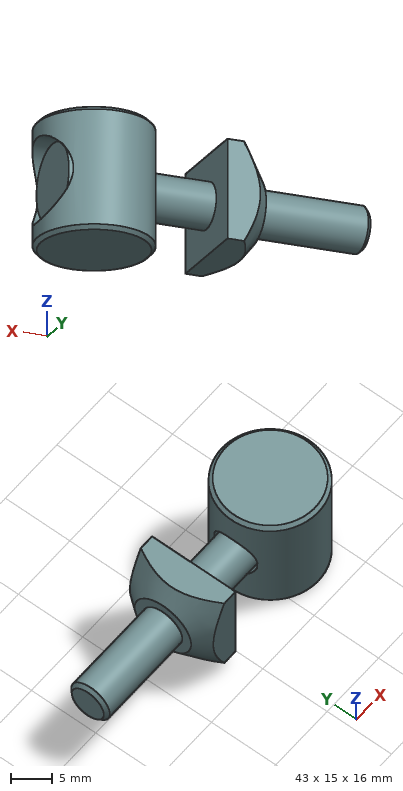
import cadquery as cq
import math

BARREL_DIAMETER = 15.0
BARREL_HEIGHT = 16.0
BARREL_CHAMFER = 0.5
SHANK_HOLE_DIAMETER = 6.75
HEAD_BORE_DIAMETER = 11.0

TOTAL_LENGTH = 43
SHANK_DIAMETER = 6
TIP_DIAMETER = 5.0
HEAD_DIAMETER = 10.0
HEAD_HEIGHT = 6
HEAD_RECESS = 2.0

NUT_WIDTH = 13.0
NUT_LENGTH = 6
NUT_FROM_TIP = 14.6
CROWN_FACE_DIAMETER = 8.77
CROWN_SIDE_DEPTH = 1.68

BARREL_RADIUS = BARREL_DIAMETER / 2
TIP_X = BARREL_RADIUS - TOTAL_LENGTH
HEAD_END_X = BARREL_RADIUS - HEAD_RECESS
HEAD_SEAT_X = HEAD_END_X - HEAD_HEIGHT
NUT_FACE_X = TIP_X + NUT_FROM_TIP


def rod_along_x(diameter, start_x, end_x):
    """Solid cylinder on the X axis between two X positions."""
    rod = cq.Workplane("YZ", origin=(start_x, 0, 0))
    return rod.circle(diameter / 2).extrude(end_x - start_x)


def make_barrel():
    """Chamfered barrel with a shank hole and a flat-bottomed head bore."""
    body = cq.Workplane("XY").cylinder(BARREL_HEIGHT, BARREL_RADIUS)
    body = body.faces("<Z or >Z").edges().chamfer(BARREL_CHAMFER)
    shank_hole = rod_along_x(SHANK_HOLE_DIAMETER, -BARREL_RADIUS, HEAD_SEAT_X)
    head_bore = rod_along_x(HEAD_BORE_DIAMETER, HEAD_SEAT_X, BARREL_RADIUS)
    return body.cut(shank_hole).cut(head_bore)


def make_bolt():
    """Round shank with a chamfered tip and a plain cylindrical head."""
    shank = rod_along_x(SHANK_DIAMETER, TIP_X, HEAD_SEAT_X)
    shank = shank.faces("<X").chamfer((SHANK_DIAMETER - TIP_DIAMETER) / 2)
    head = rod_along_x(HEAD_DIAMETER, HEAD_SEAT_X, HEAD_END_X)
    return shank.union(head)


def make_nut():
    """Square block trimmed by a cone around the bolt axis, bored for the shank."""
    nut_back_x = NUT_FACE_X + NUT_LENGTH
    block = cq.Workplane("YZ", origin=(NUT_FACE_X, 0, 0)).rect(NUT_WIDTH, NUT_WIDTH).extrude(NUT_LENGTH)

    face_radius = CROWN_FACE_DIAMETER / 2
    corner_radius = NUT_WIDTH / math.sqrt(2)
    depth_per_radius = CROWN_SIDE_DEPTH / (NUT_WIDTH / 2 - face_radius)
    corner_x = NUT_FACE_X + depth_per_radius * (corner_radius - face_radius)
    crown_profile = [
        (NUT_FACE_X, 0),
        (NUT_FACE_X, face_radius),
        (corner_x, corner_radius),
        (nut_back_x, corner_radius),
        (nut_back_x, 0),
    ]
    crown = cq.Workplane("XY").polyline(crown_profile).close().revolve(360, (0, 0, 0), (1, 0, 0))
    shank_bore = rod_along_x(SHANK_DIAMETER, NUT_FACE_X, nut_back_x)
    return block.intersect(crown).cut(shank_bore)


barrel = make_barrel()
bolt = make_bolt()
nut = make_nut()

result = cq.Compound.makeCompound([barrel.val(), bolt.val(), nut.val()])